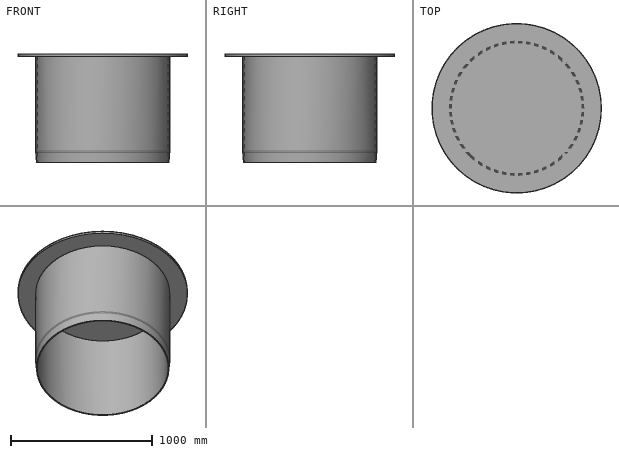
import cadquery as cq

plate_diameter = 1200.0
overall_height = 770.0
plate_thickness = 20.0

pipe_diameter = 950.0
bore_diameter = 926.0
toe_diameter = 938.0
band_top = 82.0
taper_top = 71.0

plate_bottom = overall_height - plate_thickness
pipe_radius = pipe_diameter / 2
bore_radius = bore_diameter / 2
toe_radius = toe_diameter / 2

band_height = band_top - taper_top
toe_reduction = pipe_radius - toe_radius
band_reduction = toe_reduction * band_height / (band_height + 2 * taper_top)
taper_start_radius = pipe_radius - band_reduction


def make_plate():
    """Round cover plate resting on the upper end of the pipe."""
    return (
        cq.Workplane("XY")
        .workplane(offset=plate_bottom)
        .circle(plate_diameter / 2)
        .extrude(plate_thickness)
    )


def make_pipe():
    """Open pipe whose outer wall eases through a short curved band into a tapered toe."""
    wall_profile = (
        cq.Workplane("XZ")
        .moveTo(bore_radius, 0)
        .lineTo(bore_radius, plate_bottom)
        .lineTo(pipe_radius, plate_bottom)
        .lineTo(pipe_radius, band_top)
        .tangentArcPoint((taper_start_radius, taper_top), relative=False)
        .lineTo(toe_radius, 0)
        .close()
    )
    return wall_profile.revolve(360, (0, 0, 0), (0, 1, 0))


plate = make_plate()
pipe = make_pipe()

result = cq.Compound.makeCompound([plate.val(), pipe.val()])